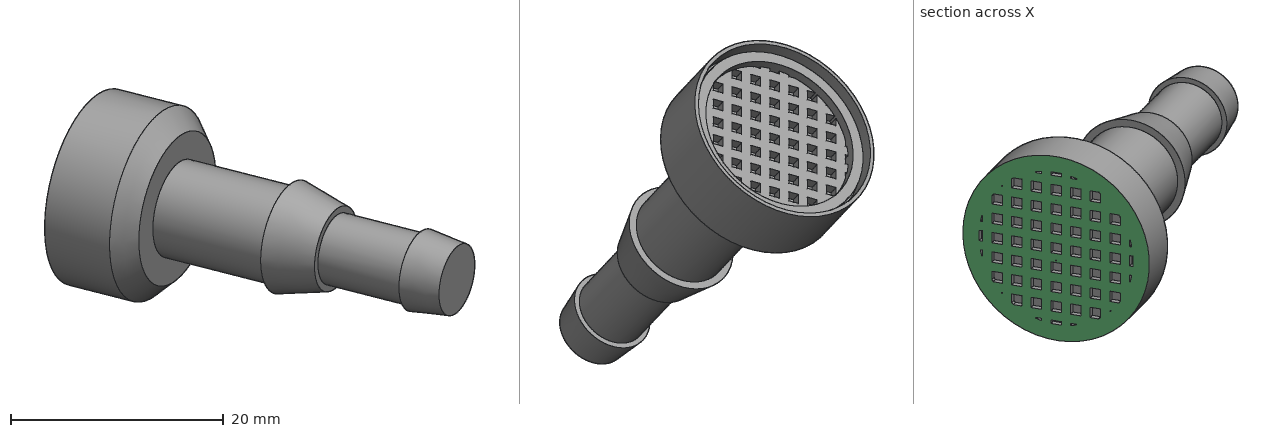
import cadquery as cq

HEAD_LENGTH = 7.0
HEAD_BACK = 9.0
LARGE_BARB_START = 21.0
LARGE_BARB_END = 26.0
SMALL_BARB_START = 35.0
LENGTH = 39.0

HEAD_DIAMETER = 19.0
HEAD_BACK_DIAMETER = 14.98
LARGE_STEM_DIAMETER = 9.5
LARGE_BARB_DIAMETER = 11.0
LARGE_BARB_TIP_DIAMETER = 8.3
SMALL_STEM_DIAMETER = 7.0
SMALL_BARB_DIAMETER = 8.0

SEAT_DIAMETER = 18.2
SEAT_DEPTH = 1.0
GROOVE_INNER_DIAMETER = 17.7
RECESS_DIAMETER = 15.6
RECESS_DEPTH = 2.0
GROOVE_DEPTH = RECESS_DEPTH

HOLE_SIZE = 1.0
HOLE_DEPTH = 1.0
HOLES_PER_ROW = 9
GRID_SPAN = 16.0
HOLE_PITCH = GRID_SPAN / (HOLES_PER_ROW - 1)


def revolve_about_x(stations):
    """Solid of revolution from (x, diameter) stations along the X axis."""
    profile = [(x, diameter / 2) for x, diameter in stations]
    first_x = stations[0][0]
    last_x = stations[-1][0]
    outline = [(first_x, 0)] + profile + [(last_x, 0)]
    return cq.Workplane("XY").polyline(outline).close().revolve(360, (0, 0), (1, 0))


def make_body():
    """Solid head, stem and two hose barbs."""
    return revolve_about_x([
        (0, HEAD_DIAMETER),
        (HEAD_LENGTH, HEAD_DIAMETER),
        (HEAD_BACK, HEAD_BACK_DIAMETER),
        (HEAD_BACK, LARGE_STEM_DIAMETER),
        (LARGE_BARB_START, LARGE_STEM_DIAMETER),
        (LARGE_BARB_START, LARGE_BARB_DIAMETER),
        (LARGE_BARB_END, LARGE_BARB_TIP_DIAMETER),
        (LARGE_BARB_END, SMALL_STEM_DIAMETER),
        (SMALL_BARB_START, SMALL_STEM_DIAMETER),
        (SMALL_BARB_START, SMALL_BARB_DIAMETER),
        (LENGTH, SMALL_STEM_DIAMETER),
    ])


def make_disc(start_x, depth, diameter):
    """Disc centred on the X axis."""
    return cq.Workplane("YZ", origin=(start_x, 0, 0)).circle(diameter / 2).extrude(depth)


def make_seat():
    """Seat pocket with a ring groove sunk around the edge of its floor."""
    ledge = make_disc(SEAT_DEPTH, GROOVE_DEPTH - SEAT_DEPTH, GROOVE_INNER_DIAMETER)
    return make_disc(0, GROOVE_DEPTH, SEAT_DIAMETER).cut(ledge)


def make_strainer_holes():
    """Square holes on a grid, trimmed to the round recess."""
    grid = (
        cq.Workplane("YZ", origin=(RECESS_DEPTH, 0, 0))
        .rarray(HOLE_PITCH, HOLE_PITCH, HOLES_PER_ROW, HOLES_PER_ROW)
        .rect(HOLE_SIZE, HOLE_SIZE)
        .extrude(HOLE_DEPTH)
    )
    return grid.intersect(make_disc(RECESS_DEPTH, HOLE_DEPTH, RECESS_DIAMETER))


recess = make_disc(0, RECESS_DEPTH, RECESS_DIAMETER)
result = make_body().cut(make_seat()).cut(recess).cut(make_strainer_holes())